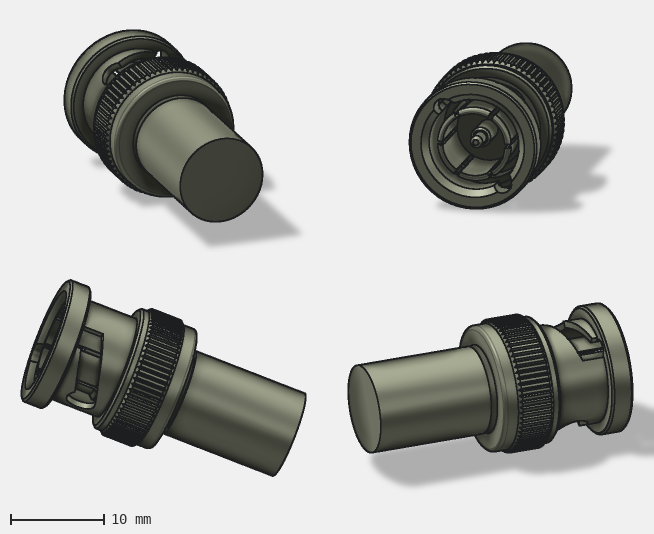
import cadquery as cq
import math


length = 28.2

flange_diameter = 13.95
flange_end = 2.4
flange_chamfer = 0.23
barrel_diameter = 11.3
nut_bore_diameter = 9.85
mouth_diameter = 11.3
collar_diameter = 13.73
collar_start = 8.23
collar_end = 14.8
collar_chamfer = 0.28
collar_fillet = 0.4
nut_shoulder = collar_start

knurl_diameter = 14.5
knurl_start = 9.53
knurl_end = 12.8
groove_count = 70
groove_depth = 0.23
groove_width = 0.3

track_count = 2
entry_angle = 51.2
keyway_diameter = 2.15
keyway_radius = 5.08
entry_half_angle = math.degrees(math.asin(keyway_diameter / 2 / keyway_radius))
slot_far_start = 4.82
slot_width = slot_far_start - flange_end
slot_pitch = 9.4
slot_overcut = 0.55
detent_angle = 126.3
detent_diameter = 3.13
detent_x = 5.47

sleeve_start = 0.54
sleeve_bore_diameter = 6.8
sleeve_diameter = 7.4
bead_radius = 0.4
bead_centre_radius = 3.65
taper_start = 6.51
neck_diameter = 8.3
sleeve_slot_count = 6
sleeve_slot_width = 0.42
sleeve_slot_end = 7.6
insulator_face = 7.9
ferrule_start = 15.48
ferrule_diameter = 9.5
pin_diameter = 1.33
pin_start = 1.58
pin_tip_diameter = 0.62
pin_tip_length = 0.4
pin_base_diameter = 2.15
pin_base_start = 3.95
pin_base_chamfer = 0.25


def revolved(points):
    """Solid of revolution about X from (x, radius) points."""
    return cq.Workplane("XY").polyline(points).close().revolve(360, (0, 0, 0), (1, 0, 0))


def cylinder(x_start, x_end, diameter):
    """Cylinder on the X axis."""
    return cq.Workplane("YZ", origin=(x_start, 0, 0)).circle(diameter / 2).extrude(x_end - x_start)


def turned(solid, angle):
    """Copy of a solid turned about the X axis."""
    return solid.rotate((0, 0, 0), (1, 0, 0), angle)


def nut_outside():
    """Solid outline of the nut: flange, barrel, and collar with a raised 45 degree sided band."""
    flange = flange_diameter / 2
    barrel = barrel_diameter / 2
    collar = collar_diameter / 2
    knurl = knurl_diameter / 2
    knurl_height = knurl - collar
    fillet_middle = collar_fillet * (1 - math.sqrt(0.5))
    return (
        cq.Workplane("XY")
        .lineTo(0, flange - flange_chamfer)
        .lineTo(flange_chamfer, flange)
        .lineTo(flange_end - flange_chamfer, flange)
        .lineTo(flange_end, flange - flange_chamfer)
        .lineTo(flange_end, barrel)
        .lineTo(collar_start, barrel)
        .lineTo(collar_start, collar - collar_chamfer)
        .lineTo(collar_start + collar_chamfer, collar)
        .lineTo(knurl_start - knurl_height, collar)
        .lineTo(knurl_start, knurl)
        .lineTo(knurl_end, knurl)
        .lineTo(knurl_end + knurl_height, collar)
        .lineTo(collar_end - collar_fillet, collar)
        .threePointArc(
            (collar_end - fillet_middle, collar - fillet_middle),
            (collar_end, collar - collar_fillet),
        )
        .lineTo(collar_end, 0)
        .close()
        .revolve(360, (0, 0, 0), (1, 0, 0))
    )


def nut_bore():
    """Cutter for the conical mouth, the wide bore around the sleeve and the bore for the neck."""
    mouth = mouth_diameter / 2
    bore = nut_bore_diameter / 2
    neck = neck_diameter / 2
    return revolved([
        (0, 0),
        (0, mouth),
        (mouth - bore, bore),
        (nut_shoulder, bore),
        (nut_shoulder, neck),
        (collar_end, neck),
        (collar_end, 0),
    ])


def knurl_grooves():
    """Cutters for the V grooves along the knurled band."""
    outer = knurl_diameter / 2
    overhang = outer - collar_diameter / 2
    groove = (
        cq.Workplane("YZ", origin=(knurl_start - overhang, 0, 0))
        .moveTo(outer - groove_depth, 0)
        .lineTo(outer + groove_depth, groove_width)
        .lineTo(outer + groove_depth, -groove_width)
        .close()
        .extrude(knurl_end - knurl_start + 2 * overhang)
    )
    pitch_angle = 360 / groove_count
    grooves = [turned(groove, index * pitch_angle).val() for index in range(groove_count)]
    return cq.Workplane(cq.Compound.makeCompound(grooves))


def helical_slot(start_angle, end_angle):
    """Cutter through the barrel wall between two helices, its ends on radial planes."""
    inner = (nut_bore_diameter - slot_overcut) / 2
    outer = (barrel_diameter + slot_overcut) / 2
    rise = slot_pitch * (end_angle - start_angle) / 360
    path = cq.Wire.makeHelix(slot_pitch, rise, barrel_diameter / 2)
    slot = (
        cq.Workplane("XZ")
        .center((inner + outer) / 2, -slot_width / 2)
        .rect(outer - inner, slot_width)
        .sweep(cq.Workplane(path), isFrenet=True)
    )
    slot = slot.rotate((0, 0, 0), (1, 1, 1), 120)
    return turned(slot, start_angle).translate((slot_far_start, 0, 0))


def entry_sector(x_start, x_end, reach):
    """Wedge between the radial planes on both sides of the entry, centred on +Y."""
    half_chord = reach * math.tan(math.radians(entry_half_angle))
    return (
        cq.Workplane("YZ", origin=(x_start, 0, 0))
        .polyline([(0, 0), (reach, half_chord), (reach, -half_chord)])
        .close()
        .extrude(x_end - x_start)
    )


def bayonet_track():
    """Cutter for one track, from the keyway in the flange to the detent hole."""
    tangent_reach = math.sqrt(keyway_radius**2 - (keyway_diameter / 2) ** 2)
    tangent_reach *= math.cos(math.radians(entry_half_angle))
    keyway = (
        cq.Workplane("YZ")
        .center(keyway_radius, 0)
        .circle(keyway_diameter / 2)
        .extrude(flange_end)
        .union(entry_sector(0, flange_end, tangent_reach))
    )
    entry_rise = slot_pitch * 2 * entry_half_angle / 360
    entry = entry_sector(flange_end, slot_far_start - slot_width + entry_rise, barrel_diameter)
    helix_slope = math.atan(slot_pitch / (math.pi * barrel_diameter))
    tangent_offset = math.degrees(detent_diameter * math.sin(helix_slope) / barrel_diameter)
    slot = helical_slot(entry_angle - entry_half_angle, detent_angle - tangent_offset)
    detent = cq.Workplane("XY", origin=(detent_x, 0, 0)).circle(detent_diameter / 2).extrude(barrel_diameter)
    track = turned(keyway.union(entry), entry_angle)
    return track.union(slot).union(turned(detent, detent_angle - 90))


def make_nut():
    """Coupling nut with its bores, knurl and two opposite bayonet tracks."""
    nut = nut_outside().cut(nut_bore()).cut(knurl_grooves())
    for index in range(track_count):
        nut = nut.cut(turned(bayonet_track(), index * 360 / track_count))
    return nut


def contact_sleeve():
    """Thin tube with a rounded bead at its tip, a taper to the neck, and slots all around."""
    bore = sleeve_bore_diameter / 2
    outer = sleeve_diameter / 2
    neck = neck_diameter / 2
    bead_x = sleeve_start + bead_radius
    bead_end = bead_x + math.sqrt(bead_radius**2 - (outer - bead_centre_radius) ** 2)
    sleeve = (
        cq.Workplane("XY")
        .moveTo(sleeve_start, bore)
        .lineTo(sleeve_start, bead_centre_radius)
        .threePointArc((bead_x, bead_centre_radius + bead_radius), (bead_end, outer))
        .lineTo(taper_start, outer)
        .lineTo(taper_start + neck - outer, neck)
        .lineTo(insulator_face, neck)
        .lineTo(insulator_face, bore)
        .close()
        .revolve(360, (0, 0, 0), (1, 0, 0))
    )
    slot = cq.Workplane("XY").box(sleeve_slot_end, neck, sleeve_slot_width, centered=(False, False, True))
    for index in range(sleeve_slot_count):
        sleeve = sleeve.cut(turned(slot, index * 360 / sleeve_slot_count))
    return sleeve


def centre_pin():
    """Pin with a tapered tip and a chamfered thicker base."""
    base = pin_base_diameter / 2
    return revolved([
        (pin_start, 0),
        (pin_start, pin_tip_diameter / 2),
        (pin_start + pin_tip_length, pin_diameter / 2),
        (pin_base_start, pin_diameter / 2),
        (pin_base_start, base - pin_base_chamfer),
        (pin_base_start + pin_base_chamfer, base),
        (insulator_face, base),
        (insulator_face, 0),
    ])


def make_plug():
    """Sleeve, neck inside the nut, 45 degree cone behind the nut, ferrule and pin in one solid."""
    neck = cylinder(insulator_face, collar_end, neck_diameter)
    cone_length = ferrule_start - collar_end
    cone = revolved([
        (collar_end, 0),
        (collar_end, neck_diameter / 2 + cone_length),
        (ferrule_start, neck_diameter / 2),
        (ferrule_start, 0),
    ])
    ferrule = cylinder(ferrule_start, length, ferrule_diameter)
    return contact_sleeve().union(neck).union(cone).union(ferrule).union(centre_pin())


coupling_nut = make_nut()
plug_body = make_plug()

result = cq.Compound.makeCompound([coupling_nut.val(), plug_body.val()])